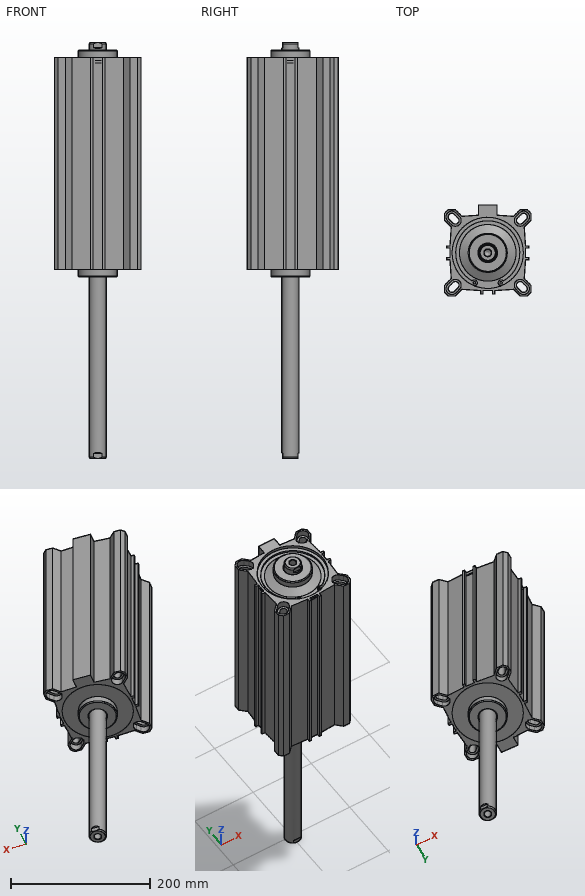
import cadquery as cq
import math

TOTAL_LENGTH = 597
BARREL_BOTTOM = 271.0
BARREL_LENGTH = 304.5
BARREL_TOP = BARREL_BOTTOM + BARREL_LENGTH
COLLAR_HEIGHT = 11.0

EAR_REACH = 62.0
EAR_FLAT_HIGH = 57.0
EAR_FLAT_LOW = 46.5
SIDE_AT_EAR = 52.5
SIDE_AT_CENTRE = 54.5
EAR_ROOT = EAR_FLAT_LOW - (EAR_REACH - SIDE_AT_EAR)
RAIL_REACH = 59.0
RAIL_INNER = 6.5
RAIL_OUTER = 10.0
PORT_BLOCK_WIDTH = 27.0
PORT_BLOCK_REACH = 68.5

SLOT_CENTRE = 49.0
SLOT_STRETCH = 7.0
BOLT_DIAMETER = 10.0
COUNTERBORE_DIAMETER = 17.0
COUNTERBORE_DEPTH = 11.0

BORE_DIAMETER = 102.0
COVER_THICKNESS = 30
COLLAR_DIAMETER = 56.0
COLLAR_CHAMFER = 1.5
CONE_DIAMETER = 81.0
COVER_RECESS = 8.0
ROD_BORE_DIAMETER = 25.5
ROD_BORE_MOUTH = 28.0
RING_DIAMETER = 106.0
RING_INNER_DIAMETER = 92.0
RING_THICKNESS = 3.0
RING_BOTTOM = BARREL_TOP - COVER_RECESS
RING_GAP = 37.0
LUG_DIAMETER = 8.5
LUG_X = 19.0
LUG_Y = -43.0
LUG_HOLE_DIAMETER = 3.5

ROD_DIAMETER = 25.0
CHAMFER_DEPTH = 1.7
CHAMFER_LENGTH = 2.1
FLAT_DEPTH = 1.45
FLAT_LENGTH = 9.0
END_HOLE_DIAMETER = 10.0
END_HOLE_MOUTH = 11.5
END_HOLE_DEPTH = 18
DRILL_TIP_ANGLE = 118


def revolve_profile(points):
    """Solid of revolution about Z from (radius, height) points."""
    return cq.Workplane("XZ").polyline(points).close().revolve(360, (0, 0, 0), (0, 1, 0))


def make_ear_slot(diameter, angle, bottom, height):
    distance = SLOT_CENTRE * math.sqrt(2)
    slot = (
        cq.Workplane("XY", origin=(0, 0, bottom))
        .center(distance, 0)
        .slot2D(SLOT_STRETCH + diameter, diameter)
        .extrude(height)
    )
    return slot.rotate((0, 0, 0), (0, 0, 1), angle)


def make_barrel():
    side = [
        (-EAR_FLAT_HIGH, -EAR_REACH),
        (-EAR_FLAT_LOW, -EAR_REACH),
        (-EAR_ROOT, -SIDE_AT_EAR),
        (-RAIL_OUTER, -SIDE_AT_CENTRE),
        (RAIL_OUTER, -SIDE_AT_CENTRE),
        (EAR_ROOT, -SIDE_AT_EAR),
        (EAR_FLAT_LOW, -EAR_REACH),
        (EAR_FLAT_HIGH, -EAR_REACH),
    ]
    outline = []
    for quarter_turn in range(4):
        for x, y in side:
            for _ in range(quarter_turn):
                x, y = -y, x
            outline.append((x, y))
    base = cq.Workplane("XY", origin=(0, 0, BARREL_BOTTOM))
    barrel = base.polyline(outline).close().extrude(BARREL_LENGTH)

    rail_centre = (RAIL_INNER + RAIL_OUTER) / 2
    rail_width = RAIL_OUTER - RAIL_INNER
    for angle in (-90, 0, 90):
        rails = (
            base.pushPoints([(-rail_centre, -RAIL_REACH / 2), (rail_centre, -RAIL_REACH / 2)])
            .rect(rail_width, RAIL_REACH)
            .extrude(BARREL_LENGTH)
        )
        barrel = barrel.union(rails.rotate((0, 0, 0), (0, 0, 1), angle))

    block = (
        base.center(0, PORT_BLOCK_REACH / 2)
        .rect(PORT_BLOCK_WIDTH, PORT_BLOCK_REACH)
        .extrude(BARREL_LENGTH)
    )
    barrel = barrel.union(block)

    barrel = barrel.cut(base.circle(BORE_DIAMETER / 2).extrude(BARREL_LENGTH))
    groove = (
        cq.Workplane("XY", origin=(0, 0, RING_BOTTOM))
        .circle(RING_DIAMETER / 2)
        .extrude(RING_THICKNESS)
    )
    barrel = barrel.cut(groove)

    for angle in (45, 135, 225, 315):
        barrel = barrel.cut(make_ear_slot(BOLT_DIAMETER, angle, BARREL_BOTTOM, BARREL_LENGTH))
        for bottom in (BARREL_BOTTOM, BARREL_TOP - COUNTERBORE_DEPTH):
            barrel = barrel.cut(
                make_ear_slot(COUNTERBORE_DIAMETER, angle, bottom, COUNTERBORE_DEPTH)
            )
    return barrel


def make_cover(rim_recess):
    """Cover whose barrel face is at Z = 0 and whose collar points up; a recessed rim adds a cone."""
    plug_radius = BORE_DIAMETER / 2
    collar_radius = COLLAR_DIAMETER / 2
    bore_radius = ROD_BORE_DIAMETER / 2
    mouth_radius = ROD_BORE_MOUTH / 2
    mouth_depth = mouth_radius - bore_radius
    profile = [(bore_radius, -COVER_THICKNESS), (plug_radius, -COVER_THICKNESS)]
    profile.append((plug_radius, -rim_recess))
    if rim_recess > 0:
        profile.append((CONE_DIAMETER / 2, -rim_recess))
    profile += [
        (collar_radius, 0),
        (collar_radius, COLLAR_HEIGHT - COLLAR_CHAMFER),
        (collar_radius - COLLAR_CHAMFER, COLLAR_HEIGHT),
        (mouth_radius, COLLAR_HEIGHT),
        (bore_radius, COLLAR_HEIGHT - mouth_depth),
    ]
    return revolve_profile(profile)


def make_retaining_ring():
    base = cq.Workplane("XY", origin=(0, 0, RING_BOTTOM))
    ring = base.circle(RING_DIAMETER / 2).circle(RING_INNER_DIAMETER / 2).extrude(RING_THICKNESS)
    gap = base.center(0, -RING_DIAMETER / 2).rect(RING_GAP, RING_DIAMETER / 2)
    ring = ring.cut(gap.extrude(RING_THICKNESS))
    lug_points = [(-LUG_X, LUG_Y), (LUG_X, LUG_Y)]
    lugs = base.pushPoints(lug_points).circle(LUG_DIAMETER / 2).extrude(RING_THICKNESS)
    holes = base.pushPoints(lug_points).circle(LUG_HOLE_DIAMETER / 2).extrude(RING_THICKNESS)
    return ring.union(lugs).cut(holes)


def make_rod():
    radius = ROD_DIAMETER / 2
    end_radius = radius - CHAMFER_DEPTH
    outline = [
        (0, 0),
        (end_radius, 0),
        (radius, CHAMFER_LENGTH),
        (radius, TOTAL_LENGTH - CHAMFER_LENGTH),
        (end_radius, TOTAL_LENGTH),
        (0, TOTAL_LENGTH),
    ]
    rod = revolve_profile(outline)

    flat_profile = [
        (radius - FLAT_DEPTH, 0),
        (radius, 0),
        (radius, FLAT_LENGTH),
        (radius - FLAT_DEPTH, FLAT_LENGTH - FLAT_DEPTH),
    ]
    waste = cq.Workplane("YZ").polyline(flat_profile).close().extrude(radius, both=True)
    for lower_waste in (waste, waste.mirror("XZ")):
        upper_waste = lower_waste.mirror("XY").translate((0, 0, TOTAL_LENGTH))
        rod = rod.cut(lower_waste).cut(upper_waste)

    hole_radius = END_HOLE_DIAMETER / 2
    mouth_radius = END_HOLE_MOUTH / 2
    tip_height = hole_radius / math.tan(math.radians(DRILL_TIP_ANGLE / 2))
    hole_profile = [
        (0, 0),
        (mouth_radius, 0),
        (hole_radius, mouth_radius - hole_radius),
        (hole_radius, END_HOLE_DEPTH),
        (0, END_HOLE_DEPTH + tip_height),
    ]
    hole = revolve_profile(hole_profile)
    upper_hole = hole.mirror("XY").translate((0, 0, TOTAL_LENGTH))
    return rod.cut(hole).cut(upper_hole)


barrel = make_barrel()
upper_cover = make_cover(COVER_RECESS).translate((0, 0, BARREL_TOP))
lower_cover = make_cover(0).mirror("XY").translate((0, 0, BARREL_BOTTOM))
retaining_ring = make_retaining_ring()
rod = make_rod()

result = cq.Compound.makeCompound([
    barrel.val(),
    upper_cover.val(),
    lower_cover.val(),
    retaining_ring.val(),
    rod.val(),
])